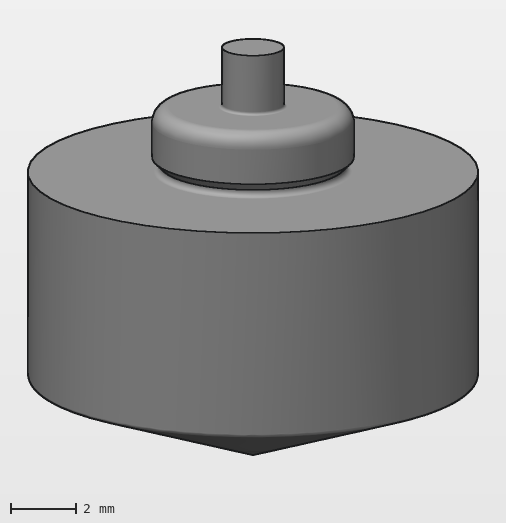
import cadquery as cq

drum_diameter = 13.8
drum_radius = drum_diameter / 2
drum_top = 9.03
cone_corner_height = 2.53
cone_corner_fillet = 0.14
neck_radius = 2.84
neck_height = 0.22
neck_fillet = 0.2

collar_diameter = 6.2
collar_radius = collar_diameter / 2
collar_height = 1.85
collar_top_fillet = 0.5
collar_chamfer = collar_radius - neck_radius
pin_diameter = 1.9
pin_fillet = 0.1
overall_height = 12.99

collar_bottom = drum_top + neck_height
collar_top = collar_bottom + collar_height


def make_drum():
    """Cone-bottomed drum and its neck, turned about Z."""
    body = (
        cq.Workplane("XZ")
        .moveTo(0, 0)
        .lineTo(drum_radius, cone_corner_height)
        .lineTo(drum_radius, drum_top)
        .lineTo(0, drum_top)
        .close()
        .revolve(360, (0, 0, 0), (0, 1, 0))
    )
    body = body.edges("%CIRCLE").edges("<Z").fillet(cone_corner_fillet)

    neck = (
        cq.Workplane("XZ")
        .moveTo(0, drum_top)
        .lineTo(neck_radius + neck_fillet, drum_top)
        .radiusArc((neck_radius, drum_top + neck_fillet), neck_fillet)
        .lineTo(neck_radius, collar_bottom)
        .lineTo(0, collar_bottom)
        .close()
        .revolve(360, (0, 0, 0), (0, 1, 0))
    )
    return body.union(neck)


def make_terminal():
    """Collar with a rounded top and chamfered bottom, and the pin on it."""
    collar = (
        cq.Workplane("XY", origin=(0, 0, collar_bottom))
        .circle(collar_radius)
        .extrude(collar_height)
        .faces(">Z")
        .edges()
        .fillet(collar_top_fillet)
        .faces("<Z")
        .edges()
        .chamfer(collar_chamfer)
    )
    pin = (
        cq.Workplane("XY", origin=(0, 0, collar_top))
        .circle(pin_diameter / 2)
        .extrude(overall_height - collar_top)
    )
    root_ring = cq.selectors.NearestToPointSelector((0, 0, collar_top))
    return collar.union(pin).edges("%CIRCLE").edges(root_ring).fillet(pin_fillet)


drum = make_drum()
terminal = make_terminal()

result = cq.Compound.makeCompound([drum.val(), terminal.val()])